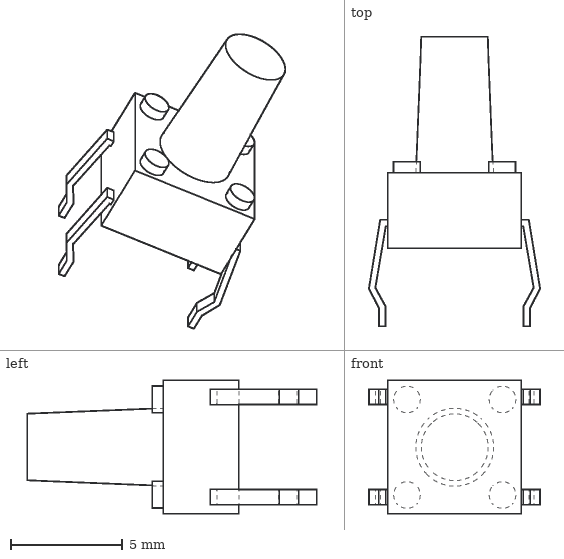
import cadquery as cq

overall_length = 13.0
housing_side = 6.0
housing_depth = 3.4
half_side = housing_side / 2

peg_diameter = 1.2
peg_height = 0.5
peg_offset = 2.15

leg_thickness = 0.3
leg_width = 0.7
leg_pitch = 4.5
leg_reach = 3.5
leg_top_y = 1.29
shoulder_x = 3.34
knee_x = 3.85
knee_y = -1.81
foot_x = 3.39
foot_y = -2.69
knee_inset = 0.04
foot_inset = 0.09
shoulder_inset = 0.26

button_base_diameter = 3.5
button_tip_diameter = 3.0
button_length = overall_length - leg_reach - housing_depth


def make_leg(side, z_center):
    """One leg on the +X (side = 1) or -X (side = -1) face of the housing."""
    stub_bottom_y = leg_top_y - leg_thickness
    profile = [
        (half_side, leg_top_y),
        (shoulder_x, leg_top_y),
        (knee_x, knee_y),
        (foot_x, foot_y),
        (foot_x, -leg_reach),
        (foot_x - leg_thickness, -leg_reach),
        (foot_x - leg_thickness, foot_y + foot_inset),
        (knee_x - leg_thickness, knee_y + knee_inset),
        (shoulder_x - shoulder_inset, stub_bottom_y),
        (half_side, stub_bottom_y),
    ]
    return (
        cq.Workplane("XY", origin=(0, 0, z_center - leg_width / 2))
        .polyline([(side * x, y) for x, y in profile])
        .close()
        .extrude(leg_width)
    )


def make_housing():
    """Block with its four pegs and four legs, all one solid."""
    body = cq.Workplane("XY").box(
        housing_side, housing_depth, housing_side, centered=(True, False, True)
    )
    pegs = (
        cq.Workplane("XZ", origin=(0, housing_depth, 0))
        .rect(2 * peg_offset, 2 * peg_offset, forConstruction=True)
        .vertices()
        .circle(peg_diameter / 2)
        .extrude(-peg_height)
    )
    body = body.union(pegs)
    for side in (-1, 1):
        for z_center in (-leg_pitch / 2, leg_pitch / 2):
            body = body.union(make_leg(side, z_center))
    return body


def make_button():
    """Tapered round button, narrowing towards +Y."""
    return cq.Workplane("XY").add(
        cq.Solid.makeCone(
            button_base_diameter / 2,
            button_tip_diameter / 2,
            button_length,
            cq.Vector(0, housing_depth, 0),
            cq.Vector(0, 1, 0),
        )
    )


housing = make_housing()
button = make_button()

result = cq.Compound.makeCompound([housing.solids().val(), button.val()])